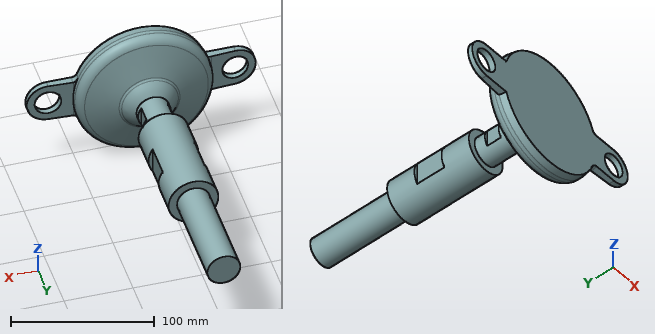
import cadquery as cq
import math

TOTAL_LENGTH = 210.0

FOOT_RADIUS = 50.0
SOLE_RADIUS = 49.0
TAPER_HEIGHT = 5.9
RIM_HEIGHT = 9.0
SHOULDER_RADIUS = 7.5
CONE_TOP_RADIUS = 22.0
CONE_TOP_HEIGHT = 24.0

DOME_RADIUS = 24.8
DOME_CENTER = 11.3
DOME_BASE_HEIGHT = 25.2

LUG_RADIUS = 15.1
LUG_REACH = 83.0
LUG_CENTER = LUG_REACH - LUG_RADIUS
LUG_TIP_THICKNESS = 4.0
LUG_HOLE_DIAMETER = 19.0
LUG_ROOT_FILLET = 4.0

ROD_RADIUS = 12.0
ROD_FLAT_START = 37.0
ROD_FLAT_LENGTH = 12.5
ROD_ACROSS_FLATS = 19.0

SLEEVE_RADIUS = 18.0
SLEEVE_START = 59.0
SLEEVE_LENGTH = 75.2
SLEEVE_FLAT_LENGTH = 25.0
SLEEVE_ACROSS_FLATS = 30.0


def cylinder(radius, start, length):
    """Cylinder on the Y axis, starting at Y = start."""
    return cq.Workplane(cq.Solid.makeCylinder(radius, length, cq.Vector(0, start, 0), cq.Vector(0, 1, 0)))


def foot_disc():
    """Revolved foot: tapered rim, round shoulder, cone and dome."""
    shoulder_x = FOOT_RADIUS - SHOULDER_RADIUS
    run = shoulder_x - CONE_TOP_RADIUS
    rise = CONE_TOP_HEIGHT - RIM_HEIGHT
    normal_angle = math.atan2(rise, -run) - math.acos(SHOULDER_RADIUS / math.hypot(run, rise))

    def on_shoulder(angle):
        return (
            shoulder_x + SHOULDER_RADIUS * math.cos(angle),
            RIM_HEIGHT + SHOULDER_RADIUS * math.sin(angle),
        )

    def dome_point(height):
        return (math.sqrt(DOME_RADIUS**2 - (height - DOME_CENTER) ** 2), height)

    dome_top = DOME_CENTER + math.sqrt(DOME_RADIUS**2 - ROD_RADIUS**2)
    dome_middle = (DOME_BASE_HEIGHT + dome_top) / 2
    return (
        cq.Workplane("XY")
        .lineTo(SOLE_RADIUS, 0)
        .lineTo(FOOT_RADIUS, TAPER_HEIGHT)
        .lineTo(FOOT_RADIUS, RIM_HEIGHT)
        .threePointArc(on_shoulder(normal_angle / 2), on_shoulder(normal_angle))
        .lineTo(CONE_TOP_RADIUS, CONE_TOP_HEIGHT)
        .tangentArcPoint(dome_point(DOME_BASE_HEIGHT), relative=False)
        .threePointArc(dome_point(dome_middle), dome_point(dome_top))
        .lineTo(0, dome_top)
        .close()
        .revolve(360, (0, 0, 0), (0, 1, 0))
    )


def lug_plate():
    """Both lugs on a common tapered disc, thinning towards the tips; the +X lug has blended roots."""
    bar = cq.Workplane("XZ").slot2D(2 * LUG_REACH, 2 * LUG_RADIUS).extrude(-TAPER_HEIGHT)
    disc = cq.Workplane(
        cq.Solid.makeCone(SOLE_RADIUS, FOOT_RADIUS, TAPER_HEIGHT, cq.Vector(0, 0, 0), cq.Vector(0, 1, 0))
    )
    plate = disc.union(bar)
    mean_radius = (SOLE_RADIUS + FOOT_RADIUS) / 2
    root_x = math.sqrt(mean_radius**2 - LUG_RADIUS**2)
    for z in (-LUG_RADIUS, LUG_RADIUS):
        root = cq.selectors.NearestToPointSelector((root_x, TAPER_HEIGHT / 2, z))
        plate = plate.edges(root).fillet(LUG_ROOT_FILLET)
    sloped_envelope = (
        cq.Workplane("XY")
        .polyline([
            (-LUG_REACH, 0),
            (LUG_REACH, 0),
            (LUG_REACH, LUG_TIP_THICKNESS),
            (FOOT_RADIUS, TAPER_HEIGHT),
            (-FOOT_RADIUS, TAPER_HEIGHT),
            (-LUG_REACH, LUG_TIP_THICKNESS),
        ])
        .close()
        .extrude(FOOT_RADIUS, both=True)
    )
    holes = (
        cq.Workplane("XZ")
        .pushPoints([(-LUG_CENTER, 0), (LUG_CENTER, 0)])
        .circle(LUG_HOLE_DIAMETER / 2)
        .extrude(-TAPER_HEIGHT)
    )
    return plate.intersect(sloped_envelope).cut(holes)


def cut_flats(body, across, start, length):
    """Cut two parallel wrench flats facing -X and +X."""
    depth = SLEEVE_RADIUS
    for side in (-1, 1):
        cutter = cq.Workplane("XY").box(depth, length, 2 * SLEEVE_RADIUS)
        body = body.cut(cutter.translate((side * (across + depth) / 2, start + length / 2, 0)))
    return body


def make_foot():
    """Foot disc with its lugs and the long rod with its wrench flats."""
    rod = cylinder(ROD_RADIUS, DOME_CENTER, TOTAL_LENGTH - DOME_CENTER)
    rod = cut_flats(rod, ROD_ACROSS_FLATS, ROD_FLAT_START, ROD_FLAT_LENGTH)
    return foot_disc().union(lug_plate()).union(rod)


def make_sleeve():
    """Sleeve fitting the rod, with wrench flats at mid length."""
    flat_start = SLEEVE_START + (SLEEVE_LENGTH - SLEEVE_FLAT_LENGTH) / 2
    sleeve = cylinder(SLEEVE_RADIUS, SLEEVE_START, SLEEVE_LENGTH)
    sleeve = cut_flats(sleeve, SLEEVE_ACROSS_FLATS, flat_start, SLEEVE_FLAT_LENGTH)
    return sleeve.cut(cylinder(ROD_RADIUS, SLEEVE_START, SLEEVE_LENGTH))


foot = make_foot()
sleeve = make_sleeve()
result = cq.Compound.makeCompound([foot.val(), sleeve.val()])